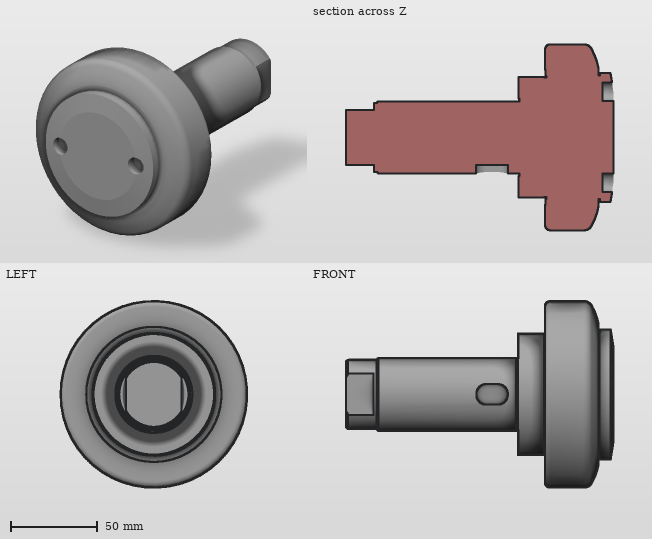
import cadquery as cq

length = 154.5
spigot_r = 40.0 / 2
spigot_chamfer = 1.2
spigot_length = 17.8
shaft_r = 42.0 / 2
shaft_chamfer = shaft_r - spigot_r

flat_offset = 16.0
flat_length = 16.0

slot_start = 75.2
slot_length = 18.2
slot_width = 11.9
slot_floor = 16.0

flange_x = 99.3
flange_r = 70.0 / 2
flange_neck_x = 114.3
flange_neck_r = 69.4 / 2
undercut_width = 1.1
undercut_outer_r = 22.2
undercut_shaft_depth = 0.2
undercut_face_depth = 0.6

roller_x = 114.8
roller_r = 107.7 / 2
roller_edge_radius = 3.2
shoulder_x = 137.4
shoulder_mid = (140.6, 52.7)
crown_start = (142.0, 50.8)
crown_mid = (144.5, 45.5)
crown_end = (145.8, 40.2)

seal_r = 78.0 / 2
seal_depth = 0.3
gap_r = 70.9 / 2
gap_depth = 0.8

groove_width = 0.6
groove_r = 71.5 / 2
cap_r = 75.0 / 2
cap_cone_x = 152.8
cap_face_r = 26.7

spanner_hole_d = 10.4
spanner_hole_offset = 26.3
spanner_hole_depth = 6.2


def turned_body():
    """Revolve the half profile, drawn in X and radius."""
    cap_x = crown_end[0] + groove_width
    profile = (
        cq.Workplane("XY")
        .moveTo(0, 0)
        .lineTo(0, spigot_r - spigot_chamfer)
        .lineTo(spigot_chamfer, spigot_r)
        .lineTo(spigot_length, spigot_r)
        .lineTo(spigot_length + shaft_chamfer, shaft_r)
        .lineTo(flange_x - undercut_width, shaft_r)
        .lineTo(flange_x - undercut_width, shaft_r - undercut_shaft_depth)
        .lineTo(flange_x + undercut_face_depth, shaft_r - undercut_shaft_depth)
        .lineTo(flange_x + undercut_face_depth, undercut_outer_r)
        .lineTo(flange_x, undercut_outer_r)
        .lineTo(flange_x, flange_r)
        .lineTo(flange_neck_x, flange_r)
        .lineTo(flange_neck_x, flange_neck_r)
        .lineTo(roller_x + gap_depth, flange_neck_r)
        .lineTo(roller_x + gap_depth, gap_r)
        .lineTo(roller_x + seal_depth, gap_r)
        .lineTo(roller_x + seal_depth, seal_r)
        .lineTo(roller_x, seal_r)
        .lineTo(roller_x, roller_r - roller_edge_radius)
        .radiusArc((roller_x + roller_edge_radius, roller_r), roller_edge_radius)
        .lineTo(shoulder_x, roller_r)
        .threePointArc(shoulder_mid, crown_start)
        .threePointArc(crown_mid, crown_end)
        .lineTo(crown_end[0], groove_r)
        .lineTo(cap_x, groove_r)
        .lineTo(cap_x, cap_r)
        .lineTo(cap_cone_x, cap_r)
        .lineTo(length, cap_face_r)
        .lineTo(length, 0)
        .close()
    )
    return profile.revolve(360, (0, 0, 0), (1, 0, 0))


def spigot_flat(side):
    """Material removed outside one spigot flat; side is -1 or 1 along Y."""
    depth = shaft_r - flat_offset
    return cq.Workplane("XY").box(flat_length, depth, 2 * shaft_r).translate(
        (flat_length / 2, side * (flat_offset + depth / 2), 0)
    )


def shaft_slot():
    """Round-ended slot cut from the -Y side down to a flat floor."""
    return (
        cq.Workplane("XZ", origin=(slot_start + slot_length / 2, -slot_floor, 0))
        .slot2D(slot_length, slot_width)
        .extrude(shaft_r - slot_floor)
    )


def spanner_hole(side):
    """Blind hole along X in the cap face; side is -1 or 1 along Y."""
    return (
        cq.Workplane("YZ", origin=(length - spanner_hole_depth, side * spanner_hole_offset, 0))
        .circle(spanner_hole_d / 2)
        .extrude(spanner_hole_depth)
    )


result = turned_body().cut(shaft_slot())
for side in (-1, 1):
    result = result.cut(spigot_flat(side)).cut(spanner_hole(side))